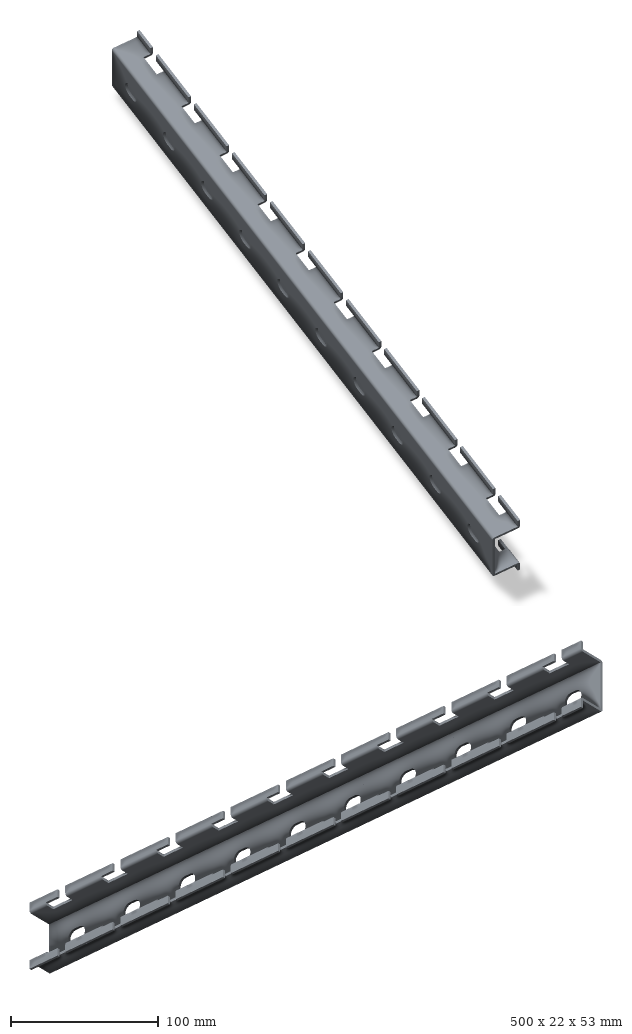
import cadquery as cq

length = 500.0
depth = 22.0
overall_width = 53.0
channel_width = 41.0
thickness = 2.0

pitch = 50.0
count = round(length / pitch)

web_slot_length = 15.0
web_slot_width = 11.0

hook_offset = web_slot_length / 2
entry_width = 7.0
hook_length = 17.5
hook_depth = 7.5

web_face = -depth / 2
web_inside = web_face + thickness
lip_face = depth / 2
lip_inside = lip_face - thickness
half_overall = overall_width / 2
flange_outside = channel_width / 2
flange_inside = flange_outside - thickness
slot_centers = [(i - (count - 1) / 2) * pitch for i in range(count)]


def make_half_rail():
    """Upper half of the bent sheet: bends are sharp inside and rounded outside."""
    return (
        cq.Workplane("YZ", origin=(-length / 2, 0, 0))
        .moveTo(web_face, 0)
        .lineTo(web_face, flange_inside)
        .radiusArc((web_inside, flange_outside), thickness)
        .lineTo(lip_inside, flange_outside)
        .lineTo(lip_inside, half_overall)
        .lineTo(lip_face, half_overall)
        .lineTo(lip_face, flange_outside)
        .radiusArc((lip_inside, flange_inside), thickness)
        .lineTo(web_inside, flange_inside)
        .lineTo(web_inside, 0)
        .close()
        .extrude(length)
    )


def web_slots():
    """Round-ended slots through the web."""
    return (
        cq.Workplane("XZ", origin=(0, web_inside, 0))
        .pushPoints([(x, 0) for x in slot_centers])
        .slot2D(web_slot_length, web_slot_width)
        .extrude(thickness)
    )


def hook_box(start, size_x, size_z):
    """Box cutter reaching in from the lip face by the hook depth, centred on Z."""
    return (
        cq.Workplane("XY")
        .box(size_x, hook_depth, size_z, centered=(False, False, True))
        .translate((start, lip_face - hook_depth, 0))
    )


def hook_slot(slot_center):
    """L-shaped cutter: an entry through both lips and a longer pocket through both flanges."""
    start = slot_center - hook_offset
    entry = hook_box(start, entry_width, overall_width)
    pocket = hook_box(start, hook_length, channel_width)
    return entry.union(pocket)


half_rail = make_half_rail()
result = half_rail.union(half_rail.mirror("XY")).clean()
result = result.cut(web_slots())
for center in slot_centers:
    result = result.cut(hook_slot(center))